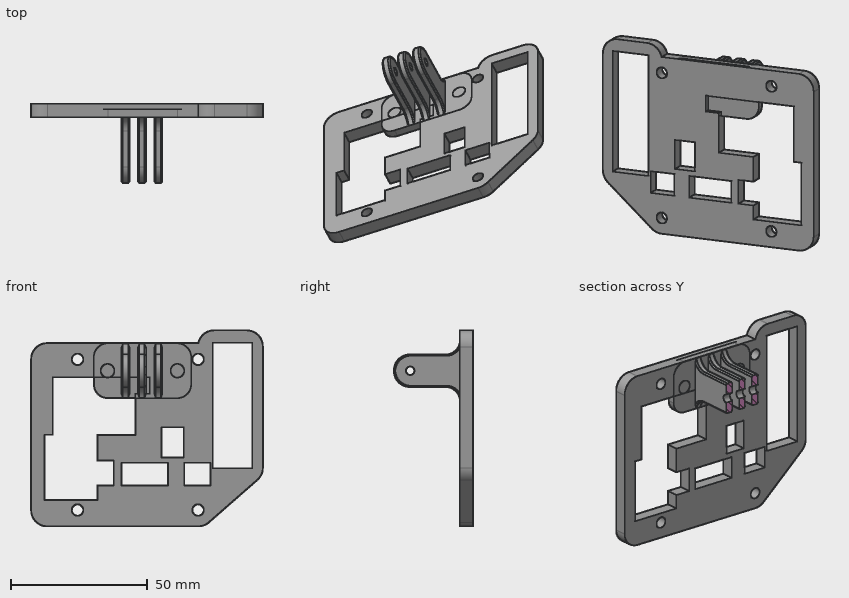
import cadquery as cq
import math


plate_width = 84.7
plate_height = 71.65
plate_thickness = 5.0
corner_radius = 6.0
shoulder_height = 67.0
tab_left = 60.9
slope_start = 61.0
slope_top = 21.5

screw_hole_diameter = 4.1
screw_hole_left = 17.0
screw_hole_right = 61.0
screw_hole_bottom = corner_radius
screw_hole_top = shoulder_height - corner_radius

upper_opening = (8.0, 33.4, 38.1, 54.4)
upper_opening_notch = (38.1, 48.4, 43.3, 54.4)
lower_opening = (5.0, 9.7, 24.2, 33.4)
lower_opening_notch = (24.2, 15.0, 30.2, 24.0)
wide_window = (33.1, 15.0, 50.0, 23.2)
square_window = (56.0, 15.0, 65.5, 23.2)
upright_window = (47.7, 25.2, 55.7, 36.2)
strap_slot = (66.4, 21.3, 80.7, shoulder_height)
openings = [
    upper_opening,
    upper_opening_notch,
    lower_opening,
    lower_opening_notch,
    wide_window,
    square_window,
    upright_window,
    strap_slot,
]

flange_width = 35.5
flange_height = 20.0
flange_back = 3.0
flange_corner_radius = 5.0
flange_top_gap = 0.15
skin_thickness = 0.02
flange_center_x = 40.7
flange_center_z = shoulder_height - flange_top_gap - flange_height / 2
flange_hole_diameter = 5.0
flange_hole_spacing = flange_width - 2 * flange_corner_radius

finger_count = 3
finger_thickness = 3.0
finger_pitch = 2 * finger_thickness
finger_center_x = 40.5
finger_height = 12.0
finger_reach = 24.0
finger_root_radius = 5.0
finger_chamfer = 0.58
pivot_hole_diameter = 3.0


def block(left, bottom, right, top, front, back):
    """A box between two corners in X and Z and between two depths in Y."""
    size = (right - left, back - front, top - bottom)
    return cq.Workplane("XY").box(*size, centered=False).translate((left, front, bottom))


def rods(centers, diameter, front, back):
    """Round rods along Y at the given (X, Z) centers."""
    plane = cq.Workplane("XZ", origin=(0, front, 0))
    return plane.pushPoints(centers).circle(diameter / 2).extrude(front - back)


def corner_point(center, degrees):
    """The point at an angle on the corner circle around a center."""
    angle = math.radians(degrees)
    return (
        center[0] + corner_radius * math.cos(angle),
        center[1] + corner_radius * math.sin(angle),
    )


def make_plate_blank():
    """The plate outline, drawn counterclockwise from the lower left corner."""
    right_x = plate_width - corner_radius
    tab_z = plate_height - corner_radius
    tab_left_x = tab_left + corner_radius
    bottom_left = (corner_radius, corner_radius)
    slope_foot = (slope_start, corner_radius)
    slope_head = (right_x, slope_top)
    tab_right_corner = (right_x, tab_z)
    tab_left_corner = (tab_left_x, tab_z)
    shoulder_corner = (corner_radius, shoulder_height - corner_radius)

    slope = math.degrees(math.atan2(slope_head[1] - slope_foot[1], slope_head[0] - slope_foot[0]))
    slope_normal = slope - 90
    tab_arc_end = 180 - math.degrees(math.asin((shoulder_height - tab_z) / corner_radius))

    corners = [
        (bottom_left, 180, 270),
        (slope_foot, -90, slope_normal),
        (slope_head, slope_normal, 0),
        (tab_right_corner, 0, 90),
        (tab_left_corner, 90, tab_arc_end),
        (shoulder_corner, 90, 180),
    ]
    outline = cq.Workplane("XZ").moveTo(*corner_point(bottom_left, 180))
    for index, (center, start, end) in enumerate(corners):
        if index > 0:
            outline = outline.lineTo(*corner_point(center, start))
        middle = corner_point(center, (start + end) / 2)
        outline = outline.threePointArc(middle, corner_point(center, end))
    return outline.close().extrude(-plate_thickness)


def make_flange():
    """Rounded flange with its two holes."""
    flange = (
        block(
            flange_center_x - flange_width / 2,
            flange_center_z - flange_height / 2,
            flange_center_x + flange_width / 2,
            flange_center_z + flange_height / 2,
            skin_thickness,
            flange_back,
        )
        .edges("|Y")
        .fillet(flange_corner_radius)
    )
    hole_centers = [
        (flange_center_x + side * flange_hole_spacing / 2, flange_center_z) for side in (-1, 1)
    ]
    return flange.cut(rods(hole_centers, flange_hole_diameter, skin_thickness, flange_back))


def make_finger(center_x):
    """One finger: root flared to the flange height, rounded tip, pivot hole, chamfered rim."""
    root_y = skin_thickness
    half_root = flange_height / 2
    half_height = finger_height / 2
    tip_y = -finger_reach
    pivot_y = tip_y + half_height
    flare_rise = half_root - half_height
    flare_length = math.sqrt(finger_root_radius**2 - (finger_root_radius - flare_rise) ** 2)
    flare_end_y = root_y - flare_length

    finger = (
        cq.Workplane("YZ", origin=(center_x, 0, flange_center_z))
        .moveTo(root_y, half_root)
        .radiusArc((flare_end_y, half_height), finger_root_radius)
        .lineTo(pivot_y, half_height)
        .threePointArc((tip_y, 0), (pivot_y, -half_height))
        .lineTo(flare_end_y, -half_height)
        .radiusArc((root_y, -half_root), finger_root_radius)
        .close()
        .extrude(finger_thickness / 2, both=True)
    )
    root_edges = cq.selectors.BoxSelector(
        (center_x - finger_thickness, root_y - finger_chamfer / 2, 0),
        (center_x + finger_thickness, root_y + finger_chamfer / 2, plate_height),
    )
    rim = finger.faces("<X or >X").edges(cq.selectors.InverseSelector(root_edges))
    finger = rim.chamfer(finger_chamfer)
    pivot_hole = (
        cq.Workplane("YZ", origin=(center_x, pivot_y, flange_center_z))
        .circle(pivot_hole_diameter / 2)
        .extrude(finger_thickness, both=True)
    )
    return finger.cut(pivot_hole)


def make_mount():
    mount = make_flange()
    for index in range(finger_count):
        offset = (index - (finger_count - 1) / 2) * finger_pitch
        mount = mount.union(make_finger(finger_center_x + offset))
    return mount


def make_plate(mount):
    """The plate with its holes and openings, and a pocket that fits the mount.

    The plate fills the two flange holes, so each holds a round peg of the plate.
    """
    screw_holes = [
        (x, z) for x in (screw_hole_left, screw_hole_right) for z in (screw_hole_bottom, screw_hole_top)
    ]
    plate = make_plate_blank()
    plate = plate.cut(rods(screw_holes, screw_hole_diameter, 0, plate_thickness))
    for opening in openings:
        plate = plate.cut(block(*opening, 0, plate_thickness))
    return plate.cut(mount)


mount = make_mount()
plate = make_plate(mount)

result = cq.Compound.makeCompound([plate.val(), mount.val()])